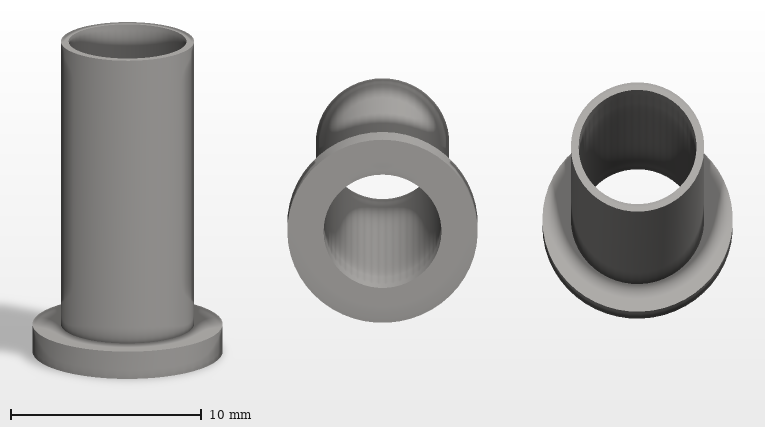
import cadquery as cq

total_height = 17.0
flange_diameter = 10.0
flange_thickness = 1.5
tube_diameter = 7.0
bore_diameter = 6.19

flange = cq.Workplane("XY").circle(flange_diameter / 2).extrude(flange_thickness)

tube = cq.Workplane("XY").circle(tube_diameter / 2).extrude(total_height)

bore = cq.Workplane("XY").circle(bore_diameter / 2).extrude(total_height)

result = flange.union(tube).cut(bore)